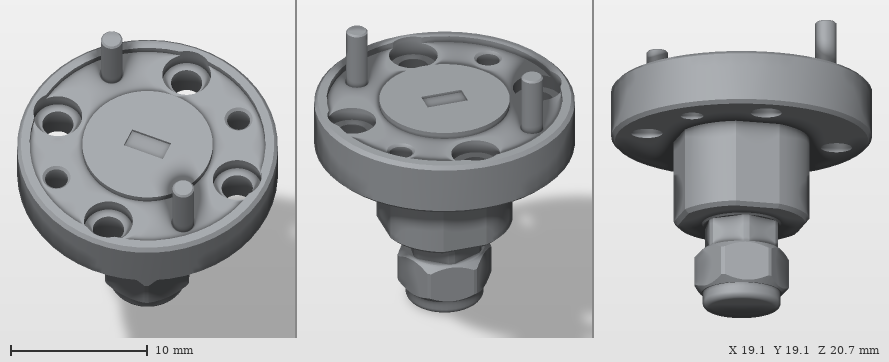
import cadquery as cq
import math

ferrule_length = 1.12
nut_length = 3.15
neck_length = 2.15
boss_length = 6.38
flange_thickness = 4.02
total_height = 20.7

nut_bottom = ferrule_length
neck_bottom = nut_bottom + nut_length
boss_bottom = neck_bottom + neck_length
flange_bottom = boss_bottom + boss_length
flange_top = flange_bottom + flange_thickness

flange_diameter = 19.05
flange_chamfer = 0.27
recess_diameter = 17.23
recess_depth = 0.5
platform_diameter = 9.53
recess_floor = flange_top - recess_depth

pitch_radius = 7.15
screw_hole_diameter = 2.28
counterbore_diameter = 3.56
counterbore_depth = 1.51
screw_angles = [0, 90, 180, 270]
guide_hole_diameter = 1.68
guide_hole_chamfer = 0.19
guide_angles = [45, 225]

pin_diameter = 1.57
pin_end_chamfer = 0.12
pin_hole_chamfer = 0.1
pin_angles = [135, 315]

waveguide_width = 3.1
waveguide_height = 1.53
waveguide_depth = 0.2

boss_diameter = 9.96
boss_across_flats = 9.4
boss_chamfer = 0.3

neck_across_flats = 5.05
neck_diameter = 5.6
neck_turn = -97.3
collar_length = 0.12
nut_across_flats = 6.13
nut_diameter = 6.92
nut_turn = -67.6
nut_chamfer = 0.52
ferrule_diameter = 5.72
ferrule_fillet = 0.41


def cylinder(diameter, bottom, length):
    return cq.Workplane("XY").workplane(offset=bottom).circle(diameter / 2).extrude(length)


def hexagon(across_flats, turn, bottom, length):
    """Hexagonal prism with one corner at the angle turn from +X."""
    across_corners = across_flats / math.cos(math.radians(30))
    prism = cq.Workplane("XY").workplane(offset=bottom).polygon(6, across_corners).extrude(length)
    return prism.rotate((0, 0, 0), (0, 0, 1), turn)


def pitch_point(angle):
    turn = math.radians(angle)
    return (pitch_radius * math.cos(turn), pitch_radius * math.sin(turn))


def cylinders_at(angles, diameter, bottom, length):
    points = [pitch_point(angle) for angle in angles]
    plane = cq.Workplane("XY").workplane(offset=bottom)
    return plane.pushPoints(points).circle(diameter / 2).extrude(length)


def chamfered_holes(angles, diameter, chamfer):
    """Holes through the flange web, each with a conical mouth at the recess floor."""
    holes = cylinders_at(angles, diameter, flange_bottom, recess_floor - flange_bottom)
    for angle in angles:
        x, y = pitch_point(angle)
        mouth_start = cq.Vector(x, y, recess_floor - chamfer)
        mouth = cq.Solid.makeCone(diameter / 2, diameter / 2 + chamfer, chamfer, mouth_start)
        holes = holes.union(cq.Workplane(obj=mouth))
    return holes


def make_flange():
    flange = cylinder(flange_diameter, flange_bottom, flange_thickness)
    flange = flange.faces("<Z or >Z").edges().chamfer(flange_chamfer)
    recess = cylinder(recess_diameter, recess_floor, recess_depth)
    recess = recess.cut(cylinder(platform_diameter, recess_floor, recess_depth))
    flange = flange.cut(recess)
    flange = flange.cut(cylinders_at(screw_angles, screw_hole_diameter, flange_bottom, flange_thickness))
    counterbore_floor = flange_top - counterbore_depth
    flange = flange.cut(
        cylinders_at(screw_angles, counterbore_diameter, counterbore_floor, counterbore_depth)
    )
    waveguide = (
        cq.Workplane("XY").workplane(offset=flange_top - waveguide_depth)
        .rect(waveguide_width, waveguide_height).extrude(waveguide_depth)
    )
    flange = flange.cut(waveguide)
    flange = flange.cut(chamfered_holes(guide_angles, guide_hole_diameter, guide_hole_chamfer))
    return flange.cut(chamfered_holes(pin_angles, pin_diameter, pin_hole_chamfer))


def make_boss():
    """Round boss with four flats; the end chamfer follows both the round and the flat sides."""
    boss = cylinder(boss_diameter, boss_bottom, boss_length)
    flats = (
        cq.Workplane("XY").workplane(offset=boss_bottom)
        .rect(boss_across_flats, boss_across_flats).extrude(boss_length)
    )
    boss = boss.faces("<Z").edges().chamfer(boss_chamfer)
    return boss.intersect(flats.faces("<Z").edges().chamfer(boss_chamfer))


def make_neck():
    """Hexagonal neck with rounded corners, flaring out into a conical collar under the boss."""
    neck = cylinder(neck_diameter, neck_bottom, neck_length)
    neck = neck.intersect(hexagon(neck_across_flats, neck_turn, neck_bottom, neck_length))
    collar = cq.Solid.makeCone(
        neck_diameter / 2, neck_diameter / 2 + collar_length, collar_length,
        cq.Vector(0, 0, boss_bottom - collar_length),
    )
    return neck.union(cq.Workplane(obj=collar))


def make_nut():
    """Hexagonal nut cut from a round blank with both ends chamfered."""
    blank = cylinder(nut_diameter, nut_bottom, nut_length)
    blank = blank.faces("<Z or >Z").edges().chamfer(nut_chamfer)
    return blank.intersect(hexagon(nut_across_flats, nut_turn, nut_bottom, nut_length))


def make_ferrule():
    return cylinder(ferrule_diameter, 0, ferrule_length).faces("<Z").edges().fillet(ferrule_fillet)


def make_housing():
    housing = make_flange()
    for section in (make_boss(), make_neck(), make_nut(), make_ferrule()):
        housing = housing.union(section)
    return housing


def make_pin(angle):
    """Guide pin filling its hole from the flange underside up to its chamfered tip."""
    pin = cylinder(pin_diameter, flange_bottom, total_height - flange_bottom)
    x, y = pitch_point(angle)
    return pin.faces(">Z").edges().chamfer(pin_end_chamfer).translate((x, y, 0))


housing = make_housing()
pins = [make_pin(angle) for angle in pin_angles]

result = cq.Compound.makeCompound([housing.val(), *[pin.val() for pin in pins]])